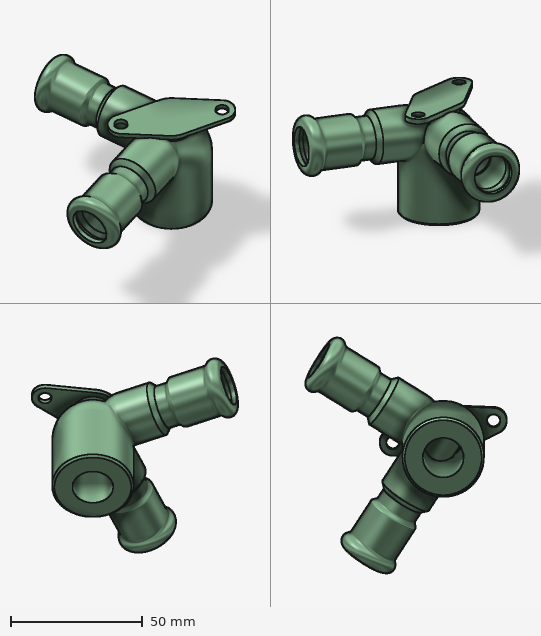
import cadquery as cq
import math

overall_length = 74.8
branch_reach = 55.95

body_radius = 15.5
dome_center_z = -6.35
body_bottom_z = -34.0
bottom_chamfer = 0.9
body_bore_radius = 7.7

bead_radius = 11.7
bead_round = 3.0
bead_root_radius = 2.0
socket_radius = 20.0 / 2
socket_end = 20.5
neck_radius = 16.8 / 2
shoulder_round = 1.0
neck_end = 27.15
shank_radius = 21.0 / 2
shank_start = neck_end + shank_radius - neck_radius
shank_end = 42.3
junction_fillet = 0.75

socket_bore_radius = 7.55
seal_groove_radius = 9.0
seal_groove_start = 2.0
seal_groove_floor_end = 4.1
seal_groove_end = 6.0
socket_depth = 20.95
branch_bore_radius = 7.0

plate_top_z = 12.0
plate_thickness = 2.0
plate_center_radius = 10.0
eye_radius = 5.0
eye_offset = overall_length - branch_reach - eye_radius
eye_hole_diameter = 5.0
pad_radius = 16.1 / 2


def make_body():
    height = dome_center_z - body_bottom_z
    barrel = (
        cq.Workplane("XY", origin=(0, 0, body_bottom_z))
        .circle(body_radius)
        .extrude(height)
        .faces("<Z")
        .chamfer(bottom_chamfer)
    )
    dome = cq.Workplane("XY").sphere(body_radius).translate((0, 0, dome_center_z))
    return barrel.union(dome)


def quarter_turn(shape):
    """Turn a shape built on the -X branch onto the -Y branch."""
    return shape.rotate((0, 0, 0), (0, 0, 1), 90)


def along_branches(shape):
    """Join a shape on the -X branch with its copy on the -Y branch."""
    return shape.union(quarter_turn(shape))


def make_branch():
    """Revolve one branch about X; it ends in a hemisphere inside the body."""
    diagonal = math.sqrt(0.5)

    bead_center_radius = bead_radius - bead_round
    root_rise = socket_radius + bead_root_radius - bead_center_radius
    center_distance = bead_round + bead_root_radius
    root_run = math.sqrt(center_distance**2 - root_rise**2)
    touch = bead_round / center_distance
    bead_end = (bead_round + root_run * touch, bead_center_radius + root_rise * touch)
    root_end = (bead_round + root_run, socket_radius)

    round_run = shoulder_round * diagonal
    round_drop = shoulder_round * (1 - diagonal)
    cone_length = socket_radius - neck_radius - 2 * round_drop
    cone_start = (socket_end + round_run, socket_radius - round_drop)
    cone_end = (cone_start[0] + cone_length, neck_radius + round_drop)
    neck_start = (cone_end[0] + round_run, neck_radius)

    profile = (
        cq.Workplane("XY", origin=(-branch_reach, 0, 0))
        .lineTo(0, bead_center_radius)
        .threePointArc((bead_round, bead_radius), bead_end)
        .tangentArcPoint(root_end, relative=False)
        .lineTo(socket_end, socket_radius)
        .tangentArcPoint(cone_start, relative=False)
        .lineTo(*cone_end)
        .tangentArcPoint(neck_start, relative=False)
        .lineTo(neck_end, neck_radius)
        .lineTo(shank_start, shank_radius)
        .lineTo(shank_end, shank_radius)
        .threePointArc(
            (shank_end + shank_radius * diagonal, shank_radius * diagonal),
            (shank_end + shank_radius, 0),
        )
        .close()
    )
    return profile.revolve(360, (0, 0, 0), (1, 0, 0))


def make_body_with_branch():
    """Join the body and one branch with a fillet along their intersection."""
    joined = make_body().union(make_branch())
    dome_side = cq.selectors.NearestToPointSelector((-shank_radius, 0, -dome_center_z))
    barrel_side = cq.selectors.TypeSelector("BSPLINE")
    return joined.edges(dome_side + barrel_side).fillet(junction_fillet)


def make_branch_bore():
    """Revolve the stepped bore of one branch, with its seal groove and spherical inner end."""
    diagonal = math.sqrt(0.5)
    profile = (
        cq.Workplane("XY", origin=(-branch_reach, 0, 0))
        .lineTo(0, socket_bore_radius)
        .lineTo(seal_groove_start, socket_bore_radius)
        .lineTo(seal_groove_start, seal_groove_radius)
        .lineTo(seal_groove_floor_end, seal_groove_radius)
        .lineTo(seal_groove_end, socket_bore_radius)
        .lineTo(socket_depth, socket_bore_radius)
        .lineTo(socket_depth, branch_bore_radius)
        .lineTo(branch_reach, branch_bore_radius)
        .threePointArc(
            (branch_reach + branch_bore_radius * diagonal, branch_bore_radius * diagonal),
            (branch_reach + branch_bore_radius, 0),
        )
        .close()
    )
    return profile.revolve(360, (0, 0, 0), (1, 0, 0))


def make_body_bore():
    """Flat-ended bore from the bottom of the body up to the branch axes."""
    return (
        cq.Workplane("XY", origin=(0, 0, body_bottom_z))
        .circle(body_bore_radius)
        .extrude(-body_bottom_z)
    )


def make_plate():
    """Outline tangent to a central disc and to a smaller disc at each eye."""
    eye_distance = eye_offset * math.sqrt(2)
    lean = (plate_center_radius - eye_radius) / eye_distance
    side = math.sqrt(1 - lean**2)
    eye_x = eye_distance + eye_radius * lean
    eye_y = eye_radius * side
    waist_x = plate_center_radius * lean
    waist_y = plate_center_radius * side
    tip_x = eye_distance + eye_radius
    outline = (
        cq.Workplane("XY", origin=(0, 0, plate_top_z - plate_thickness))
        .moveTo(eye_x, -eye_y)
        .threePointArc((tip_x, 0), (eye_x, eye_y))
        .lineTo(waist_x, waist_y)
        .threePointArc((0, plate_center_radius), (-waist_x, waist_y))
        .lineTo(-eye_x, eye_y)
        .threePointArc((-tip_x, 0), (-eye_x, -eye_y))
        .lineTo(-waist_x, -waist_y)
        .threePointArc((0, -plate_center_radius), (waist_x, -waist_y))
        .close()
    )
    plate = (
        outline.extrude(plate_thickness)
        .faces(">Z")
        .workplane(origin=(0, 0, plate_top_z))
        .pushPoints([(-eye_distance, 0), (eye_distance, 0)])
        .hole(eye_hole_diameter)
    )
    return plate.rotate((0, 0, 0), (0, 0, 1), 45)


pad = cq.Workplane("XY").circle(pad_radius).extrude(plate_top_z - plate_thickness)
branch_bore = make_branch_bore()
result = (
    along_branches(make_body_with_branch())
    .union(pad)
    .union(make_plate())
    .cut(branch_bore)
    .cut(quarter_turn(branch_bore))
    .cut(make_body_bore())
)